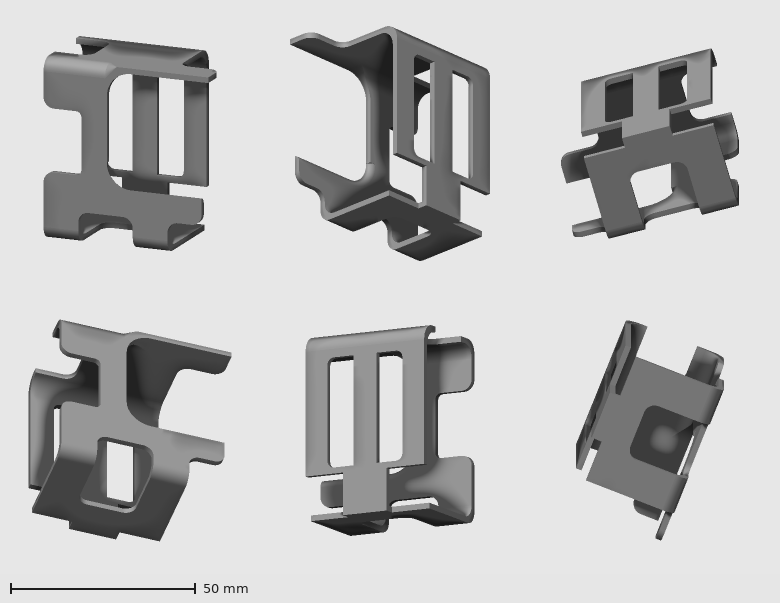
import cadquery as cq
import math

length = 48.4
depth = 28.6
height = 50.8
sheet = 1.6
body_length = 36.4
corner_radius = 3.0

front_radius = 3.55
back_outer_radius = 4.55
back_inner_radius = 4.5

window_left = 18.6
window_bottom = 16.6
window_top = height - sheet
window_radius = 7.0
window_round = 2.0
arm_end = 46.45
arm_bottom = 8.9
notch_depth = 11.1
notch_bottom = 19.15
notch_top = 37.1
notch_inner_radius = 1.6
bend_straight_end = 18.05
bend_tip = 21.5
tip_scale = 0.01

slot_width = 16.0
slot_reach = 18.0

top_arm_depth = 8.1
pocket_length = 10.7
pocket_front = 7.7
pocket_back = 22.3

back_bottom = 11.8
leg_width = 13.4
leg_gap = 2.95
opening_width = 7.9
opening_spacing = 15.1
opening_bottom = 13.45
opening_top = 43.85
opening_radius = 2.0

body_middle = body_length / 2
back_inner = depth - sheet


def block(x0, x1, y0, y1, z0, z1):
    """Box between two opposite corners."""
    return cq.Workplane("XY").box(x1 - x0, y1 - y0, z1 - z0, centered=False).translate((x0, y0, z0))


def make_shell():
    """Four-sided tube with rounded bends; the front-top outer edge stays sharp here."""
    outer = block(0, length, 0, depth, 0, height)
    outer = outer.edges("|X and <Y and <Z").fillet(front_radius)
    outer = outer.edges("|X and >Y and >Z").fillet(back_outer_radius)
    inner = block(0, length, sheet, back_inner, sheet, height - sheet)
    inner = inner.edges("|X and <Y").fillet(front_radius)
    inner = inner.edges("|X and >Y and >Z").fillet(back_inner_radius)
    return outer.cut(inner)


def bend_section(x, size):
    """Closed wire between the sharp front-top corner and its rounding arc."""
    diagonal = size * (1 - math.sqrt(0.5))
    return (
        cq.Workplane("YZ", origin=(x, 0, height))
        .lineTo(size, 0)
        .threePointArc((diagonal, -diagonal), (0, -size))
        .close()
    )


def round_front_top_bend(part):
    """Round the front-top bend, fading to a point beside the window."""
    straight = bend_section(0, front_radius).extrude(bend_straight_end)
    start = bend_section(bend_straight_end, front_radius).wires().val()
    tip = bend_section(bend_tip, front_radius * tip_scale).wires().val()
    runout = cq.Solid.makeLoft([start, tip], True)
    return part.cut(straight).cut(cq.Workplane(runout))


def trim_front_wall(part):
    """Open the window, the left notch and the space under the arm."""
    front_zone = sheet + front_radius
    window = block(window_left, length, 0, front_zone, window_bottom, window_top)
    window = window.edges("|Y and <X").fillet(window_radius)
    part = part.cut(window)

    notch = block(0, notch_depth, 0, sheet, notch_bottom, notch_top)
    notch = notch.edges("|Y and >X").fillet(notch_inner_radius)
    part = part.cut(notch)
    part = round_edge(part, 0, 0, notch_bottom, "Y")
    part = round_edge(part, 0, 0, notch_top, "Y")

    under_arm = block(body_length, length, 0, front_zone, 0, arm_bottom)
    under_arm = under_arm.edges("|Y and <X and >Z").fillet(corner_radius)
    beyond_arm = block(arm_end, length, 0, front_zone, 0, window_bottom)
    part = part.cut(under_arm).cut(beyond_arm)
    return round_edge(part, arm_end, 0, arm_bottom, "Y")


def round_edge(part, x, y, z, axis):
    """Fillet the sheet-thickness edge, parallel to axis, that touches the point."""
    reach = 0.1
    low = (x - reach, y - reach, z - reach)
    high = (x + reach, y + reach, z + reach)
    if axis == "Y":
        high = (high[0], y + sheet, high[2])
    else:
        low = (low[0], low[1], z - sheet)
    return part.edges("|" + axis).edges(cq.selectors.BoxSelector(low, high)).fillet(corner_radius)


def window_round_section():
    """Section cut away along the window's bottom edge, hung from the corner axis.

    The arc is tangent to the inner wall face and meets the outer face at the window outline.
    """
    centre_y = sheet - window_round
    edge_height = math.sqrt(window_round**2 - centre_y**2)
    centre_drop = window_radius + edge_height
    diagonal = window_round * math.sqrt(0.5)
    return (
        cq.Workplane("YZ", origin=(window_left + window_radius, 0, window_bottom + window_radius))
        .lineTo(0, -window_radius)
        .threePointArc((centre_y + diagonal, diagonal - centre_drop), (sheet, -centre_drop))
        .lineTo(sheet, 0)
        .close()
    )


def round_window_edge(part):
    """Round the inner edge of the window along its bottom and lower corner."""
    straight = window_round_section().extrude(length - window_left - window_radius)
    corner = window_round_section().revolve(90, (0, 0, 0), (1, 0, 0))
    return part.cut(straight).cut(corner)


def cut_bottom_slot(part):
    """Slot running up the front wall and into the bottom plate."""
    left = body_middle - slot_width / 2
    right = body_middle + slot_width / 2
    wall_cut = block(left, right, 0, sheet + front_radius, 0, arm_bottom)
    wall_cut = wall_cut.edges("|Y and >Z").fillet(corner_radius)
    plate_cut = block(left, right, 0, slot_reach, 0, sheet)
    plate_cut = plate_cut.edges("|Z and >Y").fillet(corner_radius)
    return part.cut(wall_cut).cut(plate_cut)


def trim_top_plate(part):
    """Leave the front arm of the top plate and cut the left pocket."""
    behind_arm = block(body_length, length, top_arm_depth, depth, 0, height)
    behind_arm = behind_arm.edges("|Z and <X and <Y").fillet(corner_radius)
    pocket = block(0, pocket_length, pocket_front, pocket_back, height - sheet, height)
    pocket = pocket.edges("|Z and >X").fillet(corner_radius)
    part = part.cut(behind_arm).cut(pocket)
    return round_edge(part, length, top_arm_depth, height, "Z")


def trim_bottom_and_back(part):
    """Cut the bottom plate end, the back leg and the two back openings."""
    part = part.cut(block(body_length, length, 0, depth, 0, sheet))
    leg_left = body_middle - leg_width / 2
    leg_right = body_middle + leg_width / 2
    for start, end in ((0, leg_left), (leg_right, length)):
        part = part.cut(block(start, end, back_inner, depth, 0, back_bottom))
        part = part.cut(block(start, end, depth - leg_gap, depth, 0, sheet))

    near = body_middle + (opening_spacing - opening_width) / 2
    far = near + opening_width
    opening = block(near, far, back_inner, depth, opening_bottom, opening_top)
    opening = opening.edges("|Y and >X").fillet(opening_radius)
    mirrored = opening.mirror("YZ", (body_middle, 0, 0))
    return part.cut(opening).cut(mirrored)


result = make_shell()
result = trim_front_wall(result)
result = round_window_edge(result)
result = cut_bottom_slot(result)
result = trim_top_plate(result)
result = trim_bottom_and_back(result)
result = round_front_top_bend(result)